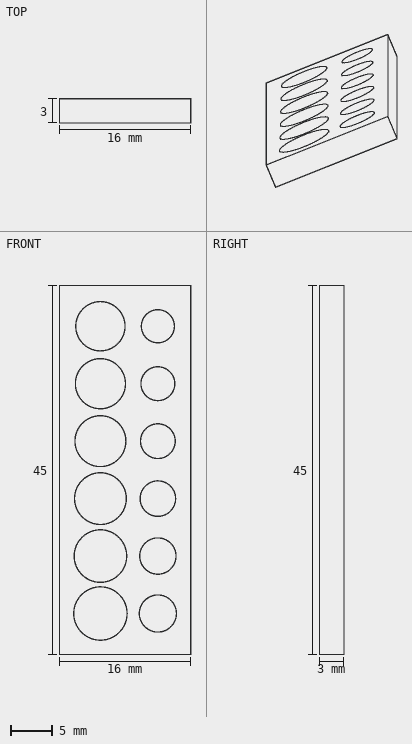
import cadquery as cq

height = 45.0
width = 16.0
thickness = 3.0

rows = 6
margin = 5.0
pitch = (height - 2 * margin) / (rows - 1)

large_top_diameter = 6.0
small_top_diameter = 4.0
diameter_step = 0.1

large_column_x = -width / 2 + margin
small_column_x = large_column_x + pitch
top_row_z = height / 2 - margin


def cut_hole_column(body, x, top_diameter):
    """Cut one column of graduated through holes into the body."""
    for row in range(rows):
        diameter = top_diameter + row * diameter_step
        cutter = (
            cq.Workplane("XZ", origin=(0, thickness / 2, 0))
            .center(x, top_row_z - row * pitch)
            .circle(diameter / 2)
            .extrude(thickness)
        )
        body = body.cut(cutter)
    return body


plate = cq.Workplane("XY").box(width, thickness, height)
plate = cut_hole_column(plate, large_column_x, large_top_diameter)
result = cut_hole_column(plate, small_column_x, small_top_diameter)